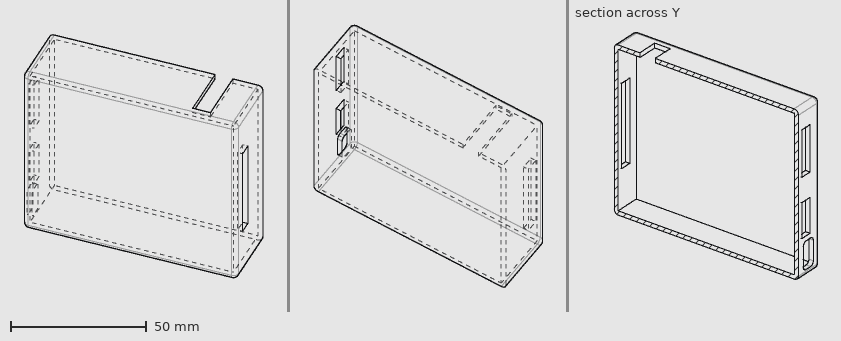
import cadquery as cq

width = 85.0
depth = 26.0
height = 72.0
wall = 2.0
edge_radius = 2.0

top_slot_left = 66.0
top_slot_width = 7.05
top_slot_depth = 22.0

slot_front = 6.0
slot_width = 5.0
upper_slot_bottom = 42.8
upper_slot_height = 20.0
lower_slot_bottom = 17.0
lower_slot_height = 15.1

port_front = 4.0
port_width = 6.1
port_bottom = 2.8
port_height = 12.1
port_radius = 1.7

right_opening_bottom = 18.9
right_opening_height = 35.95


def block(origin, size):
    """Box with its minimum corner at origin."""
    return cq.Workplane("XY").box(*size, centered=False).translate(origin)


def make_shell():
    """Rounded case with a sharp-cornered cavity and an open back."""
    outer = block((0, 0, 0), (width, depth, height))
    outer = outer.edges("|Y or <Y").fillet(edge_radius)
    cavity_size = (width - 2 * wall, depth - wall, height - 2 * wall)
    return outer.cut(block((wall, wall, wall), cavity_size))


def side_slot(wall_left, bottom, slot_height):
    """Cutter for a rectangular slot through a side wall."""
    return block((wall_left, slot_front, bottom), (wall, slot_width, slot_height))


def make_port():
    """Cutter for the rounded port through the left wall."""
    port = block((0, port_front, port_bottom), (wall, port_width, port_height))
    return port.edges("|X").fillet(port_radius)


def make_top_slot():
    """Cutter for the slot running to the back edge of the top wall."""
    origin = (top_slot_left, depth - top_slot_depth, height - wall)
    return block(origin, (top_slot_width, top_slot_depth, wall))


result = (
    make_shell()
    .cut(side_slot(0, upper_slot_bottom, upper_slot_height))
    .cut(side_slot(0, lower_slot_bottom, lower_slot_height))
    .cut(side_slot(width - wall, right_opening_bottom, right_opening_height))
    .cut(make_port())
    .cut(make_top_slot())
)